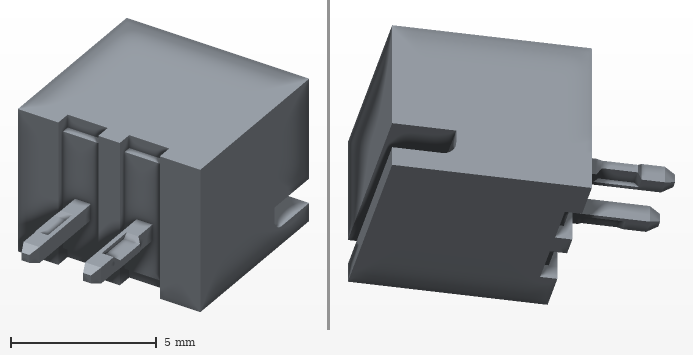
import cadquery as cq


HOUSING_WIDTH = 7.4
HOUSING_HEIGHT = 5.75
HOUSING_DEPTH = 7.0

OVERALL_LENGTH = 10.4

NOTCH_DEPTH = 2.25
NOTCH_BOTTOM = 0.73
NOTCH_HEIGHT = 0.99
NOTCH_RADIUS = 0.5

RECESS_WIDTH = 1.62
RECESS_DEPTH = 0.3
RECESS_END_DEPTH = 2 * RECESS_DEPTH
RECESS_END_HEIGHT = 0.52

PIN_PITCH = 2.5
PIN_SIZE = 0.65
PIN_HEIGHT = 2.35
PIN_TIP_Y = HOUSING_DEPTH - OVERALL_LENGTH
TIP_LENGTH = 0.4
TIP_SIZE = 0.31

KINK_START = 0.6
KINK_LENGTH = 1.59
KINK_OFFSET = 0.17

SIDES = (-1, 1)


def make_housing():
    housing = cq.Workplane("XY").box(
        HOUSING_WIDTH, HOUSING_DEPTH, HOUSING_HEIGHT, centered=(True, False, False)
    )
    housing = housing.cut(make_notch())
    for side in SIDES:
        housing = housing.cut(make_recess(side * PIN_PITCH / 2))
    return housing


def make_notch():
    """Cutter for the notch, rounded along its lower inner edge."""
    notch = (
        cq.Workplane("XY")
        .box(HOUSING_WIDTH, NOTCH_DEPTH, NOTCH_HEIGHT, centered=(True, False, False))
        .edges("<Y and <Z")
        .fillet(NOTCH_RADIUS)
    )
    return notch.translate((0, HOUSING_DEPTH - NOTCH_DEPTH, NOTCH_BOTTOM))


def make_recess(x):
    """Cutter for a full-height recess that steps deeper at both ends."""
    outline = [
        (0, 0),
        (RECESS_END_DEPTH, 0),
        (RECESS_END_DEPTH, RECESS_END_HEIGHT),
        (RECESS_DEPTH, RECESS_END_HEIGHT),
        (RECESS_DEPTH, HOUSING_HEIGHT - RECESS_END_HEIGHT),
        (RECESS_END_DEPTH, HOUSING_HEIGHT - RECESS_END_HEIGHT),
        (RECESS_END_DEPTH, HOUSING_HEIGHT),
        (0, HOUSING_HEIGHT),
    ]
    recess = cq.Workplane("YZ").polyline(outline).close().extrude(RECESS_WIDTH / 2, both=True)
    return recess.translate((x, 0, 0))


def make_pin(side):
    """Pin from the recess floor to its tip, with the kink bulging towards the given side."""
    shaft_end = PIN_TIP_Y + TIP_LENGTH
    shaft = cq.Workplane("XY").box(
        PIN_SIZE, RECESS_DEPTH - shaft_end, PIN_SIZE, centered=(True, False, True)
    )
    shaft = shaft.translate((0, shaft_end, 0))
    tip = (
        cq.Workplane("XZ", origin=(0, shaft_end, 0))
        .rect(PIN_SIZE, PIN_SIZE)
        .workplane(offset=TIP_LENGTH)
        .rect(TIP_SIZE, TIP_SIZE)
        .loft(combine=True)
    )
    pin = shaft.union(tip).cut(make_kink_space(side)).union(make_kink(side))
    return pin.translate((side * PIN_PITCH / 2, 0, PIN_HEIGHT))


def make_kink_space(side):
    """Block of the straight shaft that the kink replaces; an inner strip stays straight."""
    width = PIN_SIZE - KINK_OFFSET
    middle_y = -KINK_START - KINK_LENGTH / 2
    space = cq.Workplane("XY").box(width, KINK_LENGTH, PIN_SIZE)
    return space.translate((side * KINK_OFFSET / 2, middle_y, 0))


def make_kink(side):
    """Solid common to the outward bulge in plan and the thinned profile in elevation."""
    half = PIN_SIZE / 2
    start_y = -KINK_START
    end_y = start_y - KINK_LENGTH
    ramp_start_y = start_y - KINK_OFFSET
    ramp_end_y = end_y + KINK_OFFSET
    inner_x = side * (KINK_OFFSET - half)
    shaft_x = side * half
    bulge_x = side * (half + KINK_OFFSET)
    thin_half = half - KINK_OFFSET

    plan = [
        (inner_x, start_y),
        (shaft_x, start_y),
        (bulge_x, ramp_start_y),
        (bulge_x, ramp_end_y),
        (shaft_x, end_y),
        (inner_x, end_y),
    ]
    profile = [
        (start_y, half),
        (ramp_start_y, thin_half),
        (ramp_end_y, thin_half),
        (end_y, half),
        (end_y, -half),
        (ramp_end_y, -thin_half),
        (ramp_start_y, -thin_half),
        (start_y, -half),
    ]
    bulge = cq.Workplane("XY").polyline(plan).close().extrude(half, both=True)
    thinned = cq.Workplane("YZ").polyline(profile).close().extrude(PIN_SIZE, both=True)
    return bulge.intersect(thinned)


housing = make_housing()
pins = [make_pin(side) for side in SIDES]

result = cq.Compound.makeCompound([housing.solids().val(), *[pin.solids().val() for pin in pins]])